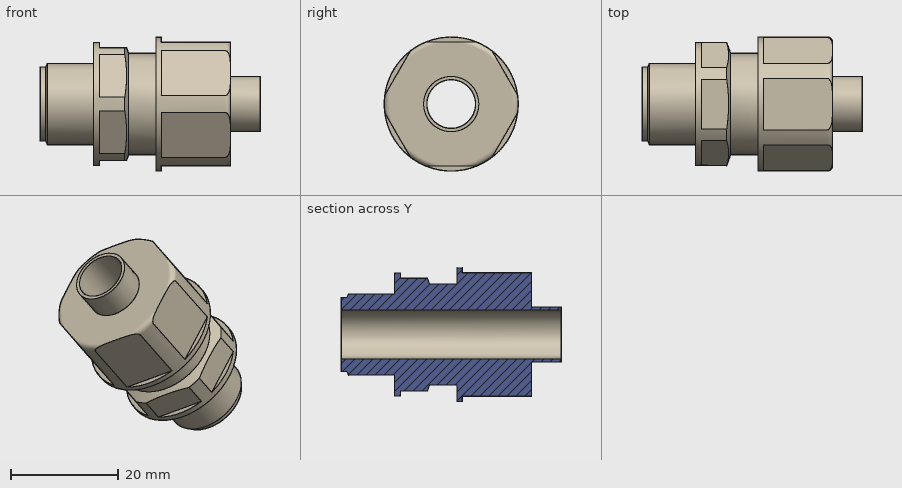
import cadquery as cq
import math

tip_end = 1.02
spigot_start = 1.3
collar_start = 9.92
collar_flats_start = 11.05
collar_bevel_start = 15.75
collar_end = 16.5
nut_start = 21.52
nut_flats_start = 22.55
nut_end = 35.45
total_length = 41.0

bore_diameter = 9.0
tip_diameter = 13.85
spigot_diameter = 15.2
collar_diameter = 23.0
neck_diameter = 19.0
nut_diameter = 25.0
tail_diameter = 10.3

collar_across_flats = 21.07
nut_across_flats = 23.1
nut_edge_radius = 1.0


def cylinder(start, end, diameter):
    """Round bar along X between two stations."""
    return cq.Workplane("YZ").workplane(offset=start).circle(diameter / 2).extrude(end - start)


def cone(start, end, start_diameter, end_diameter):
    """Solid tapered bar along X between two stations."""
    profile = cq.Workplane("XY").polyline(
        [(start, 0), (start, start_diameter / 2), (end, end_diameter / 2), (end, 0)]
    )
    return profile.close().revolve(360, (0, 0, 0), (1, 0, 0))


def cut_hex_flats(body, start, end, across_flats, outer_diameter):
    """Mill six flats, with one pair facing up and down; corners stay round."""
    hexagon_corners = across_flats / math.cos(math.pi / 6)
    waste = (
        cq.Workplane("YZ")
        .workplane(offset=start)
        .circle(outer_diameter)
        .polygon(6, hexagon_corners)
        .extrude(end - start)
    )
    return body.cut(waste)


spigot = (
    cylinder(0, tip_end, tip_diameter)
    .union(cone(tip_end, spigot_start, tip_diameter, spigot_diameter))
    .union(cylinder(spigot_start, collar_start, spigot_diameter))
)

collar = cylinder(collar_start, collar_bevel_start, collar_diameter).union(
    cone(collar_bevel_start, collar_end, collar_diameter, neck_diameter)
)
collar = cut_hex_flats(collar, collar_flats_start, collar_end, collar_across_flats, collar_diameter)

neck = cylinder(collar_end, nut_start, neck_diameter)

nut = cylinder(nut_start, nut_end, nut_diameter).faces(">X").edges().fillet(nut_edge_radius)
nut = cut_hex_flats(nut, nut_flats_start, nut_end, nut_across_flats, nut_diameter)

tail = cylinder(nut_end, total_length, tail_diameter)

bore = cylinder(0, total_length, bore_diameter)
result = spigot.union(collar).union(neck).union(nut).union(tail).cut(bore)